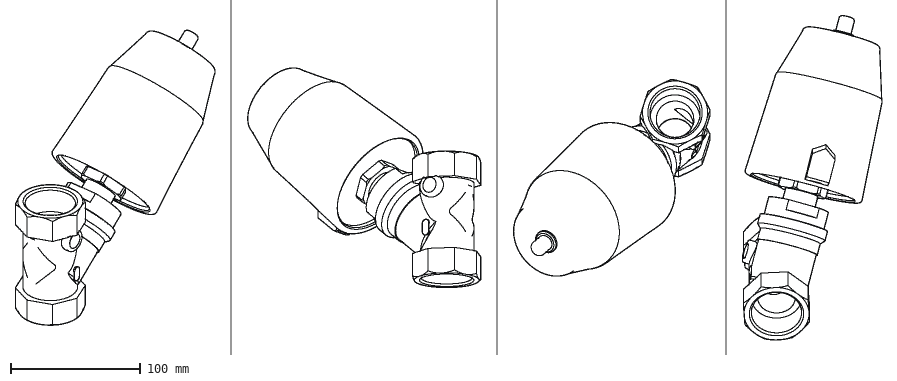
import cadquery as cq
import math


body_height = 97.0
pipe_dia = 42.5
nut_height = 20.0
nut_corner_dia = 54.5
nut_sides = 8
nut_face_dia = 50.4
bore_dia = 29.0
thread_dia = 39.0
thread_depth = 21.0
thread_chamfer = 1.6

notch_bottom = 29.2
notch_top = 72.5
notch_lower_radius = 26.2
notch_upper_radius = 31.2
notch_upper_step = 0.1
notch_valley_radius = 4.0
notch_wall = 2.0

boss_dia = 18.1
boss_reach = 25.2
boss_height = 71.0
boss_fillet = 1.0
boss_hole_dia = 10.3
boss_rim_dia = 11.9
boss_hole_depth = 4.0

pad_width = 5.8
pad_length = 12.5
pad_reach = 23.4
pad_y = 4.8
pad_z = 38.3

branch_height = 32.0
branch_tilt = 40.0
branch_dia = 46.4
branch_start = 2.5
branch_chamfer = 1.6
bonnet_dia = 48.0
bonnet_start = 33.7
collar_dia = 54.0
collar_cone_start = 42.7
collar_start = 46.0
collar_end = 53.5
wrench_start = 59.9
wrench_width = 41.0
bonnet_end = 68.0
neck_dia = 26.0

hex_start = 77.8
hex_width = 35.0
hex_corner_dia = 39.0
hex_chamfer = 1.0

housing_start = 81.6
housing_max_dia = 93.7
housing_rim = 2.0
recess_dia = 81.6
recess_depth = 4.0
recess_chamfer = 1.0
seam_start = 161.2
seam_start_dia = 85.5
seam_end = 163.3
seam_end_dia = 84.0
seam_bulge = 0.2
lid_shoulder = 199.5
lid_shoulder_dia = 62.0
lid_end = 203.4
lid_flat_dia = 53.2
lid_bulge_out = 1.2
lid_bulge_up = 0.8

ring_dia = 18.1
ring_height = 1.6
ring_chamfer = 1.2
pin_dia = 12.3
pin_end = 219.0
pin_fillet = 2.6

port_front = 94.7
port_shoulder = 111.9
port_tip = 117.0
port_width = 18.5
port_bottom = 49.8
port_top = 76.5
port_reach = 49.2

tilt = math.radians(branch_tilt)
branch_frame = cq.Plane(
    origin=(0, 0, branch_height),
    xDir=(1, 0, 0),
    normal=(0, math.cos(tilt), math.sin(tilt)),
)


def cylinder(dia, start, end):
    """Cylinder about Z between two heights."""
    return cq.Workplane("XY").workplane(offset=start).circle(dia / 2).extrude(end - start)


def on_branch(shape):
    """Move a shape built about Z onto the tilted branch axis."""
    return cq.Workplane(shape.val().moved(cq.Location(branch_frame)))


def end_nut():
    """Octagon with its lower corners chamfered, standing on Z = 0."""
    chamfer = (nut_corner_dia - nut_face_dia) / 2
    octagon = cq.Workplane("XY").polygon(nut_sides, nut_corner_dia).extrude(nut_height)
    return octagon.intersect(cylinder(nut_corner_dia, 0, nut_height).faces("<Z").chamfer(chamfer))


def thread_bore():
    """Counterbore opening at Z = 0 with a chamfered mouth."""
    mouth = cq.Workplane("XY").circle(thread_dia / 2 + thread_chamfer)
    mouth = mouth.workplane(offset=thread_chamfer).circle(thread_dia / 2).loft()
    return cylinder(thread_dia, 0, thread_depth).union(mouth)


def at_both_ends(shape):
    """Join a lower-end shape with its copy mirrored to the upper end."""
    return shape.union(shape.mirror("XY").translate((0, 0, body_height)))


def notch_cutter():
    """Space outside two arcs that bulge towards -Y and meet in a rounded valley."""
    depth = pipe_dia
    height = notch_top - notch_bottom
    cutter = cq.Workplane("XY").box(2 * pipe_dia, depth, height, centered=(True, False, False))
    cutter = cutter.translate((0, -depth, notch_bottom))
    arcs = (
        (notch_lower_radius, notch_bottom, 0),
        (notch_upper_radius, notch_top, notch_upper_step),
    )
    for radius, z, step in arcs:
        arc = cq.Workplane("YZ").center(radius + step - pipe_dia / 2, z).circle(radius)
        cutter = cutter.cut(arc.extrude(2 * pipe_dia, both=True))
    return cutter.edges("|X").edges(">Y").fillet(notch_valley_radius)


def plug_boss():
    """Boss on the +X side of the pipe."""
    boss = cq.Workplane("YZ").center(0, boss_height).circle(boss_dia / 2).extrude(boss_reach)
    return boss.faces(">X").edges().fillet(boss_fillet)


def plug_hole():
    """Conical hole with a chamfered rim, in the end of the +X boss."""
    rim_depth = (boss_rim_dia - boss_hole_dia) / 2
    profile = [
        (0, 0),
        (boss_rim_dia / 2, 0),
        (boss_hole_dia / 2, -rim_depth),
        (0, -boss_hole_depth),
    ]
    cone = cq.Workplane("XZ").polyline(profile).close().revolve(360, (0, 0), (0, 1))
    return cone.rotate((0, 0, 0), (0, 1, 0), 90).translate((boss_reach, 0, boss_height))


def oval_pad():
    """Upright oval pad on the +X side of the branch."""
    oval = cq.Workplane("YZ").center(pad_y, pad_z).slot2D(pad_length, pad_width, 90)
    return oval.extrude(pad_reach)


def on_both_sides(shape):
    """Join a +X shape with its copy mirrored to -X."""
    return shape.union(shape.mirror("YZ"))


def branch():
    """Branch barrel, collar, bonnet with two wrench flats, and neck."""
    barrel = cylinder(branch_dia, branch_start, bonnet_start).faces("<Z").chamfer(branch_chamfer)
    bonnet = cylinder(bonnet_dia, bonnet_start, bonnet_end)
    flats = cq.Workplane("XY").workplane(offset=wrench_start)
    flats = flats.rect(2 * bonnet_dia, 2 * bonnet_dia).rect(2 * bonnet_dia, wrench_width)
    bonnet = bonnet.cut(flats.extrude(bonnet_end - wrench_start))
    cone = cq.Workplane("XY").workplane(offset=collar_cone_start).circle(bonnet_dia / 2)
    cone = cone.workplane(offset=collar_start - collar_cone_start).circle(collar_dia / 2).loft()
    collar = cylinder(collar_dia, collar_start, collar_end)
    neck = cylinder(neck_dia, bonnet_end, hex_start)
    return barrel.union(bonnet).union(cone).union(collar).union(neck)


def housing_hexagon():
    """Hexagon with turned corners, reaching from the recess floor of the housing."""
    height = housing_start + recess_depth - hex_start
    corner_dia = hex_width / math.cos(math.pi / 6)
    hexagon = cq.Workplane("XY").workplane(offset=hex_start).polygon(6, corner_dia).extrude(height)
    turned = cylinder(hex_corner_dia, hex_start, hex_start + height).faces("<Z").chamfer(hex_chamfer)
    return hexagon.intersect(turned)


def housing():
    """Tapered housing and domed lid, with a shallow recess in the open end."""
    max_radius = housing_max_dia / 2
    seam_bend = ((seam_start_dia + seam_end_dia) / 4 + seam_bulge, (seam_start + seam_end) / 2)
    recess_floor = housing_start + recess_depth
    round_offset = housing_rim * (1 - math.sqrt(0.5))
    lid_bend = (
        (lid_flat_dia + lid_shoulder_dia) / 4 + lid_bulge_out,
        (lid_shoulder + lid_end) / 2 + lid_bulge_up,
    )
    profile = (
        cq.Workplane("XZ")
        .moveTo(0, recess_floor)
        .lineTo(recess_dia / 2, recess_floor)
        .lineTo(recess_dia / 2, housing_start + recess_chamfer)
        .lineTo(recess_dia / 2 + recess_chamfer, housing_start)
        .lineTo(max_radius - housing_rim, housing_start)
        .threePointArc(
            (max_radius - round_offset, housing_start + round_offset),
            (max_radius, housing_start + housing_rim),
        )
        .lineTo(seam_start_dia / 2, seam_start)
        .threePointArc(seam_bend, (seam_end_dia / 2, seam_end))
        .lineTo(lid_shoulder_dia / 2, lid_shoulder)
        .threePointArc(lid_bend, (lid_flat_dia / 2, lid_end))
        .lineTo(0, lid_end)
        .close()
    )
    return profile.revolve(360, (0, 0), (0, 1))


def indicator():
    """Rounded pin standing in a chamfered ring on the lid."""
    ring_end = lid_end + ring_height + ring_chamfer
    ring = cylinder(ring_dia, lid_end, ring_end).faces(">Z").chamfer(ring_chamfer)
    pin = cylinder(pin_dia, lid_end, pin_end).faces(">Z").edges().fillet(pin_fillet)
    return ring.union(pin)


def port_block():
    """Prism with a pointed back end, hanging from the lower side of the housing."""
    half_width = port_width / 2
    outline = [
        (-half_width, port_front),
        (half_width, port_front),
        (half_width, port_shoulder),
        (0, port_tip),
        (-half_width, port_shoulder),
    ]
    prism = cq.Workplane("XY").workplane(offset=port_bottom).polyline(outline).close()
    prism = prism.extrude(port_top - port_bottom)
    trim = cq.Workplane("XY").box(2 * port_width, 2 * port_reach, lid_end, centered=(True, True, False))
    return prism.intersect(on_branch(trim))


pipe = cylinder(pipe_dia, 0, body_height)
pipe = pipe.union(at_both_ends(end_nut())).union(on_both_sides(plug_boss()))
actuator = housing().union(housing_hexagon()).union(indicator())

notch = notch_cutter()
inner_wall = notch.translate((0, notch_wall, 0))
bore = cylinder(bore_dia, 0, body_height).cut(inner_wall).union(at_both_ends(thread_bore()))

valve = pipe.union(on_branch(branch())).union(on_both_sides(oval_pad()))
valve = valve.cut(notch).cut(bore).cut(on_both_sides(plug_hole()))

result = valve.union(on_branch(actuator)).union(port_block())